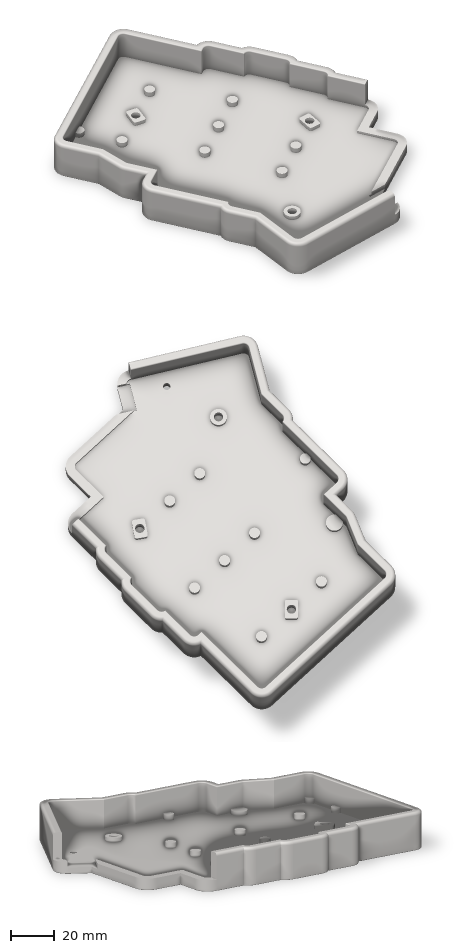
import cadquery as cq
import math

KEY_PITCH = 19.05
HALF_STAGGER = KEY_PITCH / 8
THUMB_ANGLE = 30.0

CASE_HEIGHT = 18.1
FLOOR_TOP = 4.2
CAVITY_CLEARANCE = 2.6
WALL = 4.2
OUTER_OFFSET = CAVITY_CLEARANCE + WALL
RIM_OUTER_FILLET = 1.5
RIM_INNER_FILLET = 0.5
BASE_FILLET = 0.5

FIELD_TOP = 75.35
STEP_1_X = 39.5
STEP_2_X = 58.4
STEP_3_X = 75.2
STEP_4_X = 94.4
SHOULDER_X = 115.2
SHOULDER_Y = 59.3
RIGHT_X = 135.7
SLANT_START_X = 18.1
SLANT_END_X = 31.4
SLANT_DROP = 5.6
NOTCH_X = 48.4
BOTTOM_Y = -16.4
LIP_X = 86.7
THUMB_START_X = 101.0
THUMB_TIP_Y = -30.76
THUMB_END_X = 147.96
LIP_Y = BOTTOM_Y - HALF_STAGGER

LOW_WALL_TOP = 5.6
PORT_FLOOR = 3.1
PORT_WIDTH = 13.4
PORT_END = 0.9
PORT_INNER_EDGE = 0.9
CUT_REACH = 2 * OUTER_OFFSET

POST_ROOT = FLOOR_TOP / 2
PIN_DIAMETER = 5.0
PIN_HEIGHT = 2.6
BOSS_DIAMETER = 7.8
MOUNT_HEIGHT = 2.0
INSERT_HOLE_DIAMETER = 4.3
INSERT_HOLE_DEPTH = 4.0
RESET_HOLE_DIAMETER = 3.3
RESET_HOLE = (136.5, 3.8)
PAD_LENGTH = 9.1
PAD_WIDTH = 6.1
PAD_CORNER_RADIUS = 1.0

COLUMN_1_X = KEY_PITCH
COLUMN_2_X = 3 * KEY_PITCH
COLUMN_3_X = 5 * KEY_PITCH
COLUMN_2_Y = 24.7
COLUMN_3_Y = 22.7
WALL_PIN_X = -1.8
WALL_PIN_LOW_Y = -1.0
FRONT_PIN = (66.9, -16.9)
PINS = [
    (COLUMN_1_X, KEY_PITCH),
    (COLUMN_1_X, 3 * KEY_PITCH),
    (COLUMN_2_X, COLUMN_2_Y),
    (COLUMN_2_X, COLUMN_2_Y + KEY_PITCH),
    (COLUMN_2_X, COLUMN_2_Y + 2 * KEY_PITCH),
    (COLUMN_3_X, COLUMN_3_Y),
    (COLUMN_3_X, COLUMN_3_Y + KEY_PITCH),
    (WALL_PIN_X, KEY_PITCH),
    (WALL_PIN_X, WALL_PIN_LOW_Y),
    FRONT_PIN,
]
PLAIN_BOSS = (35.5, -5.1)
INSERT_BOSS = (109.0, -2.5)
PADS = [
    (COLUMN_1_X, 2 * KEY_PITCH, -44.0),
    (COLUMN_3_X, COLUMN_3_Y + 2 * KEY_PITCH, -34.0),
]

THUMB_SLOPE = math.tan(math.radians(THUMB_ANGLE))
THUMB_TIP_X = THUMB_START_X + (LIP_Y - THUMB_TIP_Y) / THUMB_SLOPE
THUMB_END_Y = THUMB_TIP_Y + (THUMB_END_X - THUMB_TIP_X) / THUMB_SLOPE
THUMB_TOP_Y = THUMB_END_Y + (THUMB_END_X - RIGHT_X) * THUMB_SLOPE

FIELD_OUTLINE = [
    (0, 0),
    (SLANT_START_X, 0),
    (SLANT_END_X, -SLANT_DROP),
    (NOTCH_X, -SLANT_DROP),
    (NOTCH_X, BOTTOM_Y),
    (LIP_X, BOTTOM_Y),
    (LIP_X, LIP_Y),
    (THUMB_START_X, LIP_Y),
    (THUMB_TIP_X, THUMB_TIP_Y),
    (THUMB_END_X, THUMB_END_Y),
    (RIGHT_X, THUMB_TOP_Y),
    (RIGHT_X, SHOULDER_Y),
    (SHOULDER_X, SHOULDER_Y),
    (SHOULDER_X, FIELD_TOP + HALF_STAGGER),
    (STEP_4_X, FIELD_TOP + HALF_STAGGER),
    (STEP_4_X, FIELD_TOP + 2 * HALF_STAGGER),
    (STEP_3_X, FIELD_TOP + 2 * HALF_STAGGER),
    (STEP_3_X, FIELD_TOP + 3 * HALF_STAGGER),
    (STEP_2_X, FIELD_TOP + 3 * HALF_STAGGER),
    (STEP_2_X, FIELD_TOP + 2 * HALF_STAGGER),
    (STEP_1_X, FIELD_TOP + 2 * HALF_STAGGER),
    (STEP_1_X, FIELD_TOP),
    (0, FIELD_TOP),
]


def offset_prism(offset, z_bottom, z_top):
    """The key field outline grown by an offset, with rounded outer corners."""
    outline = cq.Workplane("XY").workplane(offset=z_bottom).polyline(FIELD_OUTLINE).close()
    return outline.offset2D(offset, "arc").extrude(z_top - z_bottom)


def open_shell():
    body = offset_prism(OUTER_OFFSET, 0, CASE_HEIGHT)
    body = body.faces(">Z").edges().fillet(RIM_OUTER_FILLET)
    body = body.faces("<Z").edges().fillet(BASE_FILLET)
    body = body.cut(offset_prism(CAVITY_CLEARANCE, FLOOR_TOP, CASE_HEIGHT))
    rim_face = body.faces(">Z").val()
    inner_rim = rim_face.innerWires()[0].Edges()
    return body.newObject(inner_rim).fillet(RIM_INNER_FILLET)


def low_wall_cut():
    """Everything above the low wall, from the shoulder round to the thumb end."""
    angle = math.radians(THUMB_ANGLE)
    far_x = THUMB_END_X + CUT_REACH * math.cos(angle)
    far_y = FIELD_TOP + CUT_REACH
    region = [
        (SHOULDER_X, far_y),
        (SHOULDER_X, THUMB_END_Y),
        (THUMB_END_X, THUMB_END_Y),
        (far_x, THUMB_END_Y - CUT_REACH * math.sin(angle)),
        (far_x, far_y),
    ]
    plane = cq.Workplane("XY").workplane(offset=LOW_WALL_TOP)
    return plane.polyline(region).close().extrude(CASE_HEIGHT - LOW_WALL_TOP)


def port_cut():
    """Box through the low wall, square to the upper thumb edge and sunk into the floor."""
    box = cq.Workplane("XY").box(PORT_WIDTH, CUT_REACH, CASE_HEIGHT, centered=False)
    box = box.translate((PORT_END - PORT_WIDTH, PORT_INNER_EDGE, PORT_FLOOR))
    turned = box.rotate((0, 0, 0), (0, 0, 1), -THUMB_ANGLE)
    return turned.translate((THUMB_END_X, THUMB_END_Y, 0))


def floor_posts(points, diameter, height):
    """Round posts standing on the floor."""
    plane = cq.Workplane("XY").workplane(offset=POST_ROOT)
    return plane.pushPoints(points).circle(diameter / 2).extrude(FLOOR_TOP + height - POST_ROOT)


def insert_pad(x, y, turn):
    """Rounded rectangular pad for a threaded insert."""
    pad = cq.Workplane("XY").workplane(offset=POST_ROOT).rect(PAD_LENGTH, PAD_WIDTH)
    pad = pad.extrude(FLOOR_TOP + MOUNT_HEIGHT - POST_ROOT)
    pad = pad.edges("|Z").fillet(PAD_CORNER_RADIUS)
    return pad.rotate((0, 0, 0), (0, 0, 1), turn).translate((x, y, 0))


def insert_holes():
    top = FLOOR_TOP + MOUNT_HEIGHT
    points = [INSERT_BOSS] + [(x, y) for x, y, _ in PADS]
    plane = cq.Workplane("XY").workplane(offset=top)
    return plane.pushPoints(points).circle(INSERT_HOLE_DIAMETER / 2).extrude(-INSERT_HOLE_DEPTH)


def reset_hole():
    plane = cq.Workplane("XY").center(*RESET_HOLE)
    return plane.circle(RESET_HOLE_DIAMETER / 2).extrude(FLOOR_TOP)


case = open_shell()
case = case.cut(low_wall_cut())
case = case.cut(port_cut())
case = case.union(floor_posts(PINS, PIN_DIAMETER, PIN_HEIGHT))
case = case.union(floor_posts([PLAIN_BOSS, INSERT_BOSS], BOSS_DIAMETER, MOUNT_HEIGHT))
for pad_x, pad_y, pad_turn in PADS:
    case = case.union(insert_pad(pad_x, pad_y, pad_turn))
case = case.cut(insert_holes())
result = case.cut(reset_hole())